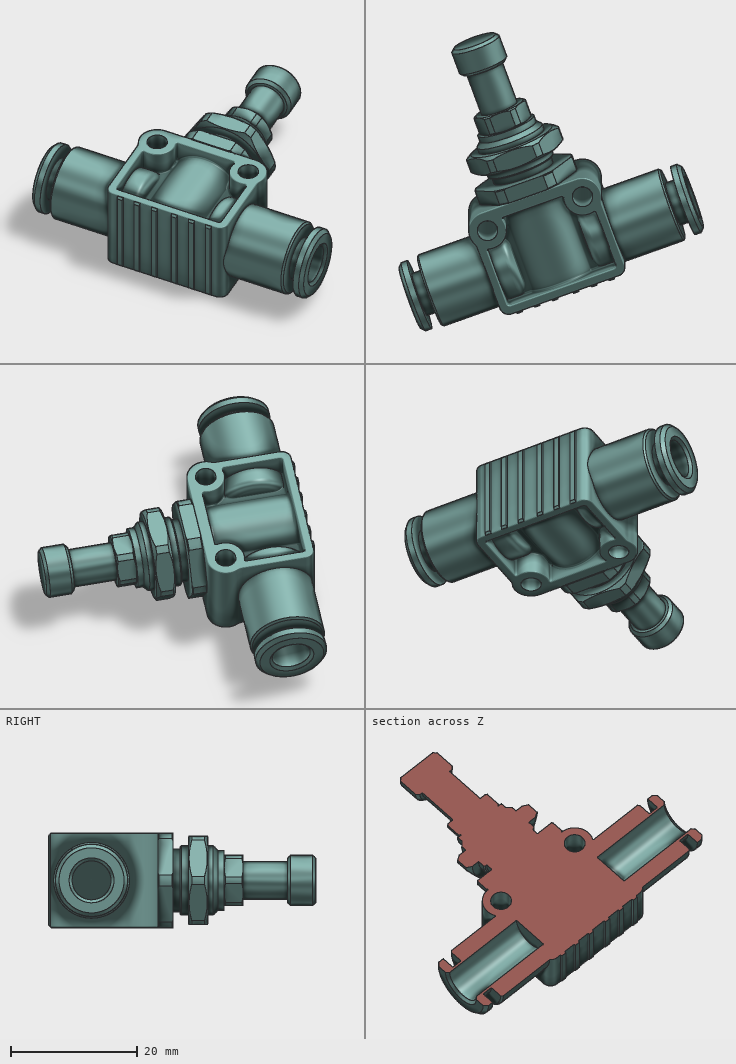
import cadquery as cq
import math


BODY_HEIGHT = 15.0
HALF_HEIGHT = BODY_HEIGHT / 2
SIDE_X = 10.5
FRONT_Y = -6.5
CORNER_RADIUS = 1.5
RIM_FILLET = 0.2

HOLE_X = 8.0
HOLE_Y = 7.5
HOLE_DIAMETER = 3.2
BOSS_RADIUS = 3.0
BOSS_BLEND_RADIUS = 2.0
BACK_Y = HOLE_Y + BOSS_RADIUS

WALL = 1.35
BACK_WALL = 1.85
FLOOR_Z = 3.5
BARREL_RADIUS = 6.0
SLEEVE_END_X = 5.75
SLEEVE_END_FILLET = 1.3
BARREL_FILLET = 0.5
BOSS_FOOT_FILLET = 0.3
SLEEVE_FOOT_FILLET = 0.2
TOUCH = 0.02

RIB_CENTRES = (1.74, 4.78, 7.75)
RIB_WIDTH = 0.87
RIB_ROOT_WIDTH = 1.05
RIB_DEPTH = 0.3
RIB_END_BEVEL = 0.47
RIB_EMBED = 0.65

PORT_RADIUS = 6.0
PORT_START_X = 9.825
PORT_END_X = 20.5
PORT_CHAMFER = 0.3
NECK_RADIUS = 3.55
COLLAR_BACK_X = 22.2
COLLAR_RIM_X = 23.2
COLLAR_END_X = 23.8
COLLAR_RADIUS = 11.5 / 2
COLLAR_FACE_RADIUS = 5.15
BORE_RADIUS = 6.15 / 2
BORE_MOUTH_RADIUS = 7.1 / 2
BORE_DEPTH = 15.0

BASE_HEX_END_Y = 12.9
BASE_HEX_FLATS = BODY_HEIGHT
BASE_HEX_CORNERS = 16.4
BASE_HEX_BEVEL = 0.15
BASE_HEX_BEVEL_ANGLE = 45
GROOVE_RADIUS = 10.0 / 2
THREAD_START_Y = 14.0
THREAD_END_Y = 20.0
THREAD_RADIUS = 11.0 / 2
THREAD_START_CHAMFER = 0.2
THREAD_END_CHAMFER = 0.75
NUT_START_Y = 15.35
NUT_END_Y = 18.4
NUT_FLATS = 14.0
NUT_CORNERS = 15.5
NUT_BEVEL = 0.9
NUT_BEVEL_ANGLE = 30
SHOULDER_RADIUS = 9.5 / 2
SHOULDER_END_Y = 21.0
LOCK_HEX_END_Y = 24.0
LOCK_HEX_FLATS = 8.0
LOCK_HEX_CORNERS = 8.7
LOCK_HEX_BEVEL = 0.35
ROD_RADIUS = 6.0 / 2
KNOB_START_Y = 31.0
KNOB_END_Y = 35.51
KNOB_RADIUS = 8.0 / 2
KNOB_CHAMFER = 0.5


def cylinder_along_y(radius, start, end):
    return cq.Workplane("XZ", origin=(0, start, 0)).circle(radius).extrude(start - end)


def cylinder_along_x(radius, start, end):
    return cq.Workplane("YZ", origin=(start, 0, 0)).circle(radius).extrude(end - start)


def hole_points():
    return [(-HOLE_X, HOLE_Y), (HOLE_X, HOLE_Y)]


def body_block():
    """Block with two boss corners at the back, blended into straight sides."""
    joint = BOSS_RADIUS + BOSS_BLEND_RADIUS
    blend_x = SIDE_X + BOSS_BLEND_RADIUS
    blend_y = HOLE_Y - math.sqrt(joint**2 - (blend_x - HOLE_X) ** 2)
    reach = BOSS_RADIUS / joint
    tangent = (HOLE_X + (blend_x - HOLE_X) * reach, HOLE_Y + (blend_y - HOLE_Y) * reach)
    blend_angle = math.atan2(tangent[1] - blend_y, tangent[0] - blend_x)
    blend_angle = (blend_angle % (2 * math.pi) + math.pi) / 2
    blend_mid = (
        blend_x + BOSS_BLEND_RADIUS * math.cos(blend_angle),
        blend_y + BOSS_BLEND_RADIUS * math.sin(blend_angle),
    )
    boss_angle = math.radians(45)
    boss_mid = (HOLE_X + BOSS_RADIUS * math.cos(boss_angle), HOLE_Y + BOSS_RADIUS * math.sin(boss_angle))

    def left(point):
        return (-point[0], point[1])

    outline = (
        cq.Workplane("XY", origin=(0, 0, -HALF_HEIGHT))
        .moveTo(-SIDE_X, FRONT_Y)
        .lineTo(SIDE_X, FRONT_Y)
        .lineTo(SIDE_X, blend_y)
        .threePointArc(blend_mid, tangent)
        .threePointArc(boss_mid, (HOLE_X, BACK_Y))
        .lineTo(-HOLE_X, BACK_Y)
        .threePointArc(left(boss_mid), left(tangent))
        .threePointArc(left(blend_mid), (-SIDE_X, blend_y))
        .close()
    )
    block = outline.extrude(BODY_HEIGHT)
    block = block.edges("|Z and <Y").fillet(CORNER_RADIUS)
    return block.faces("<Z or >Z").edges().fillet(RIM_FILLET)


def below_rim(edge):
    return edge.BoundingBox().zmin < HALF_HEIGHT - RIM_FILLET


def at_boss_foot(edge):
    """True for the low edges where a boss stands on the barrel, the floor or their fillet."""
    middle = edge.Center() if edge.geomType() == "LINE" else edge.positionAt(0.5)
    from_hole = math.hypot(abs(middle.x) - HOLE_X, middle.y - HOLE_Y)
    upright = edge.BoundingBox().zmax > HALF_HEIGHT - RIM_FILLET
    return below_rim(edge) and not upright and abs(from_hole - BOSS_RADIUS) < TOUCH


def port_sleeve():
    """Round-ended inner end of the +X port, blended into a slab whose top is the pocket floor."""
    sleeve = cylinder_along_x(PORT_RADIUS, SLEEVE_END_X, 2 * SIDE_X)
    sleeve = sleeve.faces("<X").edges().fillet(SLEEVE_END_FILLET)
    slab = cq.Workplane("XY").rect(4 * SIDE_X, 4 * SIDE_X).extrude(FLOOR_Z)
    sleeve = sleeve.union(slab)
    foot = cq.selectors.NearestToPointSelector((SLEEVE_END_X, 0, FLOOR_Z))
    return sleeve.edges(foot).fillet(SLEEVE_FOOT_FILLET)


def pocket_void():
    """Space inside the top of the block, around the barrel, the port sleeves and the bosses."""
    inner_x = SIDE_X - WALL
    inner_front = FRONT_Y + WALL
    inner_back = BACK_Y - BACK_WALL
    void = (
        cq.Workplane("XY", origin=(0, 0, FLOOR_Z))
        .center(0, (inner_front + inner_back) / 2)
        .rect(2 * inner_x, inner_back - inner_front)
        .extrude(HALF_HEIGHT - FLOOR_Z)
    )
    void = void.cut(cylinder_along_y(BARREL_RADIUS, inner_front, inner_back))
    void = void.newObject([edge for edge in void.edges().vals() if below_rim(edge)]).fillet(BARREL_FILLET)

    bosses = cq.Workplane("XY").pushPoints(hole_points()).circle(BOSS_RADIUS).extrude(HALF_HEIGHT)
    void = void.cut(bosses)
    void = void.newObject([edge for edge in void.edges().vals() if at_boss_foot(edge)]).fillet(BOSS_FOOT_FILLET)

    sleeve = port_sleeve()
    return void.cut(sleeve).cut(sleeve.mirror("YZ"))


def grip_rib(centre):
    """Tapered upright rib, bevelled at both ends."""
    root = FRONT_Y + RIB_EMBED
    crest = FRONT_Y - RIB_DEPTH
    root_top = HALF_HEIGHT - RIM_FILLET / 2
    crest_top = HALF_HEIGHT - RIB_END_BEVEL
    section = (
        cq.Workplane("XY", origin=(centre, 0, -HALF_HEIGHT))
        .polyline([
            (-RIB_ROOT_WIDTH / 2, root),
            (-RIB_ROOT_WIDTH / 2, FRONT_Y),
            (-RIB_WIDTH / 2, crest),
            (RIB_WIDTH / 2, crest),
            (RIB_ROOT_WIDTH / 2, FRONT_Y),
            (RIB_ROOT_WIDTH / 2, root),
        ])
        .close()
        .extrude(BODY_HEIGHT)
    )
    profile = (
        cq.Workplane("YZ", origin=(centre - RIB_ROOT_WIDTH, 0, 0))
        .polyline([
            (root, -root_top),
            (FRONT_Y, -root_top),
            (crest, -crest_top),
            (crest, crest_top),
            (FRONT_Y, root_top),
            (root, root_top),
        ])
        .close()
        .extrude(2 * RIB_ROOT_WIDTH)
    )
    return section.intersect(profile)


def port():
    """Port on the +X side with its release collar."""
    profile = (
        cq.Workplane("XY")
        .moveTo(PORT_START_X, 0)
        .lineTo(PORT_START_X, PORT_RADIUS)
        .lineTo(PORT_END_X - PORT_CHAMFER, PORT_RADIUS)
        .lineTo(PORT_END_X, PORT_RADIUS - PORT_CHAMFER)
        .lineTo(PORT_END_X, NECK_RADIUS)
        .lineTo(COLLAR_BACK_X, NECK_RADIUS)
        .lineTo(COLLAR_BACK_X, COLLAR_RADIUS)
        .lineTo(COLLAR_RIM_X, COLLAR_RADIUS)
        .lineTo(COLLAR_END_X, COLLAR_FACE_RADIUS)
        .lineTo(COLLAR_END_X, 0)
        .close()
    )
    return profile.revolve(360, (0, 0, 0), (1, 0, 0))


def bore():
    """Blind tube bore of the +X port, with a tapered mouth."""
    bottom = COLLAR_END_X - BORE_DEPTH
    mouth = COLLAR_END_X - (BORE_MOUTH_RADIUS - BORE_RADIUS)
    profile = (
        cq.Workplane("XY")
        .moveTo(bottom, 0)
        .lineTo(bottom, BORE_RADIUS)
        .lineTo(mouth, BORE_RADIUS)
        .lineTo(COLLAR_END_X, BORE_MOUTH_RADIUS)
        .lineTo(COLLAR_END_X, 0)
        .close()
    )
    return profile.revolve(360, (0, 0, 0), (1, 0, 0))


def stem_core():
    """Turned profile of the stem: groove, thread, shoulder, rod and knob."""
    root = BACK_Y - BACK_WALL / 2
    profile = (
        cq.Workplane("XY")
        .moveTo(0, root)
        .lineTo(GROOVE_RADIUS, root)
        .lineTo(GROOVE_RADIUS, THREAD_START_Y)
        .lineTo(THREAD_RADIUS - THREAD_START_CHAMFER, THREAD_START_Y)
        .lineTo(THREAD_RADIUS, THREAD_START_Y + THREAD_START_CHAMFER)
        .lineTo(THREAD_RADIUS, THREAD_END_Y - THREAD_END_CHAMFER)
        .lineTo(SHOULDER_RADIUS, THREAD_END_Y)
        .lineTo(SHOULDER_RADIUS, SHOULDER_END_Y)
        .lineTo(ROD_RADIUS, SHOULDER_END_Y)
        .lineTo(ROD_RADIUS, KNOB_START_Y)
        .lineTo(KNOB_RADIUS - KNOB_CHAMFER, KNOB_START_Y)
        .lineTo(KNOB_RADIUS, KNOB_START_Y + KNOB_CHAMFER)
        .lineTo(KNOB_RADIUS, KNOB_END_Y - KNOB_CHAMFER)
        .lineTo(KNOB_RADIUS - KNOB_CHAMFER, KNOB_END_Y)
        .lineTo(0, KNOB_END_Y)
        .close()
    )
    return profile.revolve(360, (0, 0, 0), (0, 1, 0))


def hexagon(start, end, flats, corners, bevel, bevel_angle):
    """Hexagon along Y with flats on +Z and -Z, its corners turned down and bevelled."""
    point_diameter = flats / math.cos(math.radians(30))
    prism = cq.Workplane("XZ", origin=(0, start, 0)).polygon(6, point_diameter).extrude(start - end)
    drop = bevel * math.tan(math.radians(bevel_angle))
    radius = corners / 2
    turned = (
        cq.Workplane("XY")
        .moveTo(0, start)
        .lineTo(radius - bevel, start)
        .lineTo(radius, start + drop)
        .lineTo(radius, end - drop)
        .lineTo(radius - bevel, end)
        .lineTo(0, end)
        .close()
        .revolve(360, (0, 0, 0), (0, 1, 0))
    )
    return prism.intersect(turned)


block = body_block()
for centre in RIB_CENTRES:
    block = block.union(grip_rib(centre)).union(grip_rib(-centre))

void = pocket_void()
block = block.cut(void).cut(void.mirror("XY"))
for rim in (">Z", "<Z"):
    block = block.newObject(block.faces(rim).val().innerWires()).edges().fillet(RIM_FILLET)

mounting_holes = (
    cq.Workplane("XY", origin=(0, 0, -HALF_HEIGHT))
    .pushPoints(hole_points())
    .circle(HOLE_DIAMETER / 2)
    .extrude(BODY_HEIGHT)
)

base_hex = hexagon(
    BACK_Y, BASE_HEX_END_Y, BASE_HEX_FLATS, BASE_HEX_CORNERS, BASE_HEX_BEVEL, BASE_HEX_BEVEL_ANGLE
)
nut = hexagon(NUT_START_Y, NUT_END_Y, NUT_FLATS, NUT_CORNERS, NUT_BEVEL, NUT_BEVEL_ANGLE)
lock_hex = hexagon(
    SHOULDER_END_Y, LOCK_HEX_END_Y, LOCK_HEX_FLATS, LOCK_HEX_CORNERS, LOCK_HEX_BEVEL, NUT_BEVEL_ANGLE
)
stem = stem_core().union(base_hex).union(nut).union(lock_hex)

result = block.union(stem).union(port()).union(port().mirror("YZ"))
result = result.cut(bore()).cut(bore().mirror("YZ")).cut(mounting_holes)